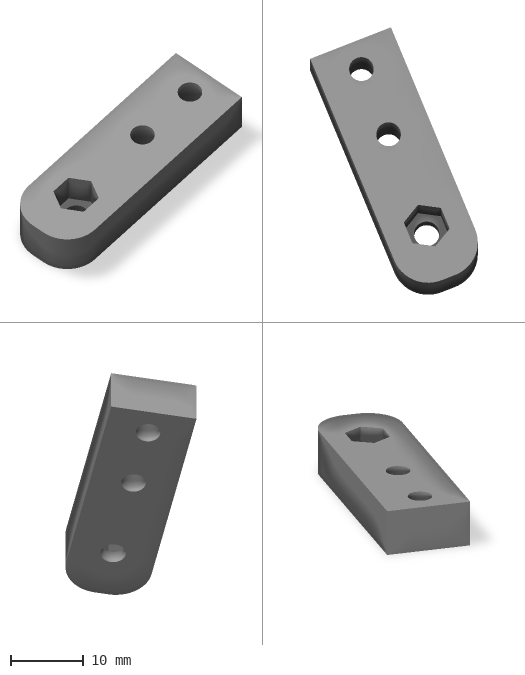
import cadquery as cq
import math

length = 36.05
width = 12.0
height = 6.5
corner_radius = 5.0

square_end = length / 2
end_hole_setback = 4.0
middle_hole_setback = 14.02
nut_hole_setback = 28.05

plain_hole_diameter = 3.4
nut_hole_diameter = 3.5
nut_across_flats = 5.5
nut_across_corners = nut_across_flats / math.cos(math.pi / 6)
nut_pocket_depth = 4.5


def top_plane(body, setback):
    """Workplane on the top face, centred at a distance from the square end."""
    return (
        body.faces(">Z")
        .workplane(origin=(0, square_end - setback, height))
    )


result = (
    cq.Workplane("XY")
    .box(width, length, height, centered=(True, True, False))
    .faces("<Y")
    .edges("|Z")
    .fillet(corner_radius)
)

for setback in (end_hole_setback, middle_hole_setback):
    result = top_plane(result, setback).hole(plain_hole_diameter)

result = (
    top_plane(result, nut_hole_setback)
    .transformed(rotate=(0, 0, 90))
    .polygon(6, nut_across_corners)
    .cutBlind(-nut_pocket_depth)
)
result = top_plane(result, nut_hole_setback).hole(nut_hole_diameter)